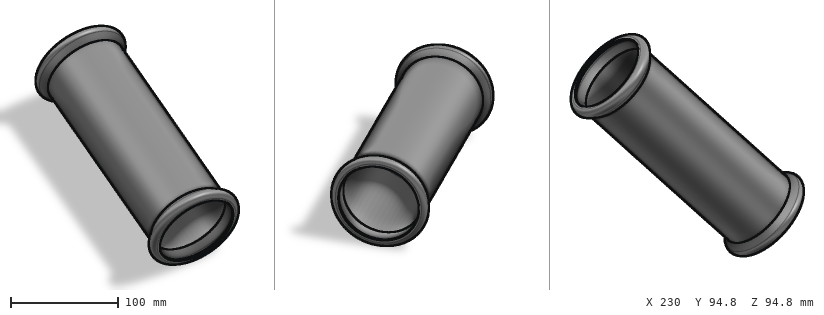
import cadquery as cq
import math

length = 230.0
tube_radius = 80.7 / 2
bore_radius = 76.5 / 2
lip_radius = 78.2 / 2
bead_outer_radius = 94.8 / 2
bead_radius = 5.5
flare_angle = math.radians(42.0)

wall = tube_radius - bore_radius
half_length = length / 2
bead_center_radius = bead_outer_radius - bead_radius


def bead_point(radius, angle):
    """Point on a bead circle at the left end; angle runs from outward radial toward the tube middle."""
    x = -half_length + bead_radius + radius * math.sin(angle)
    return (x, bead_center_radius + radius * math.cos(angle))


def flare_foot(radius, cylinder_radius):
    """Point where the cone tangent to a bead circle meets a coaxial cylinder."""
    x, r = bead_point(radius, flare_angle)
    return (x + (r - cylinder_radius) / math.tan(flare_angle), cylinder_radius)


def half_tube():
    """Left half: hollow bead with a flat end lip, flare and plain tube."""
    inner_bead_radius = bead_radius - wall
    lip_angle = -math.pi / 2
    arc_middle_angle = (lip_angle + flare_angle) / 2
    profile = (
        cq.Workplane("XY")
        .moveTo(*bead_point(bead_radius, lip_angle))
        .threePointArc(bead_point(bead_radius, arc_middle_angle), bead_point(bead_radius, flare_angle))
        .lineTo(*flare_foot(bead_radius, tube_radius))
        .lineTo(0, tube_radius)
        .lineTo(0, bore_radius)
        .lineTo(*flare_foot(inner_bead_radius, bore_radius))
        .lineTo(*bead_point(inner_bead_radius, flare_angle))
        .threePointArc(
            bead_point(inner_bead_radius, arc_middle_angle),
            bead_point(inner_bead_radius, lip_angle),
        )
        .lineTo(-half_length + wall, lip_radius)
        .lineTo(-half_length, lip_radius)
        .close()
    )
    return profile.revolve(360, (0, 0, 0), (1, 0, 0))


left_half = half_tube()
result = left_half.union(left_half.mirror("YZ")).clean()